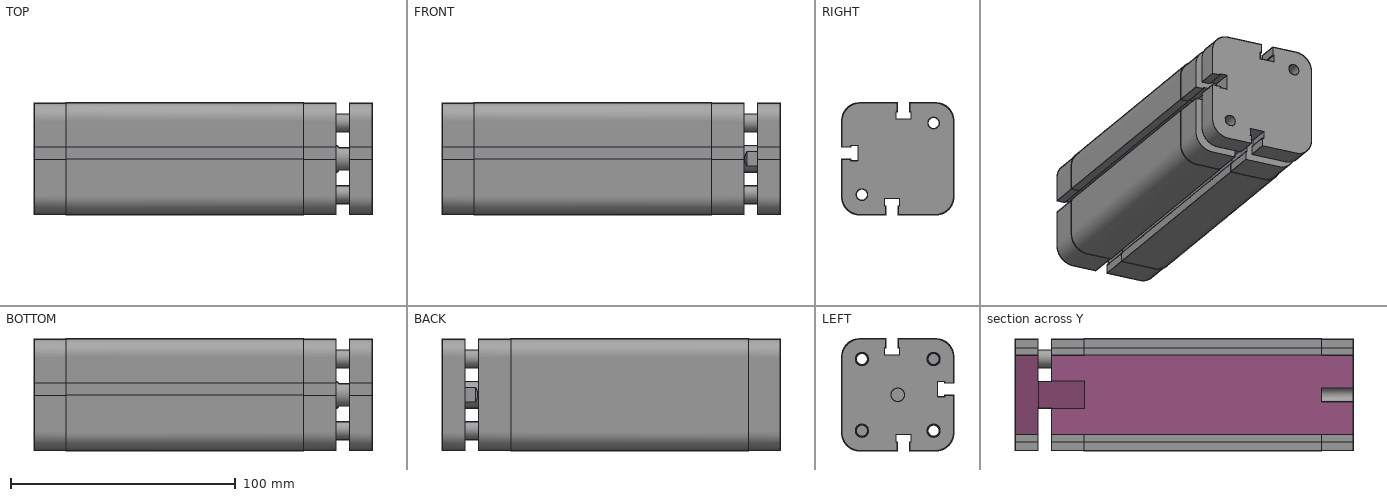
import cadquery as cq

TOTAL_LENGTH = 150.5
REAR_CAP_LENGTH = 14.1
FRONT_CAP_LENGTH = 14.6
PLATE_THICKNESS = 10.2
PLATE_GAP = 5.9

PLATE_START = TOTAL_LENGTH - PLATE_THICKNESS
HOUSING_END = PLATE_START - PLATE_GAP
FRONT_CAP_START = HOUSING_END - FRONT_CAP_LENGTH

BARREL_WIDTH = 50.0
BARREL_CORNER_RADIUS = 8.0
CAP_INSET = 0.2
CAP_CORNER_RADIUS = 8.1
PLATE_CORNER_RADIUS = 7.8
CAP_WIDTH = BARREL_WIDTH - 2 * CAP_INSET

SLOT_OFFSET = 2.5
SLOT_MOUTH_WIDTH = 5.4
SLOT_INNER_WIDTH = 6.6
SLOT_MOUTH_DEPTH = 4.0
SLOT_DEPTH = 7.2
SLOT_ANGLES = (0, 90, 180)
CAP_SLOT_CLEARANCE = 0.08

CORNER_OFFSET = 16.0
CORNER_HOLE_DIAMETER = 5.0
CORNER_HOLE_CHAMFER = 0.5
GUIDE_ROD_DIAMETER = 8.1
GUIDE_ROD_CENTRES = ((-CORNER_OFFSET, CORNER_OFFSET), (CORNER_OFFSET, -CORNER_OFFSET))
OPEN_HOLE_CENTRES = ((CORNER_OFFSET, CORNER_OFFSET), (-CORNER_OFFSET, -CORNER_OFFSET))
CENTRE_HOLE_DIAMETER = 6.0
PISTON_ROD_DIAMETER = 12.0
PISTON_ROD_FLATS = 10.1
FLATS_SETBACK = 0.3


def cylinder(start, end, diameter, centres=((0, 0),)):
    """Cylinders along X at the given (Y, Z) centres."""
    return (
        cq.Workplane("YZ", origin=(start, 0, 0))
        .pushPoints(centres)
        .circle(diameter / 2)
        .extrude(end - start)
    )


def slot_cutter(start, end, clearance):
    """One stepped slot on each of three sides, widened and deepened by the clearance."""
    top = BARREL_WIDTH / 2
    half_mouth = SLOT_MOUTH_WIDTH / 2 + clearance
    half_inner = SLOT_INNER_WIDTH / 2 + clearance
    step = top - SLOT_MOUTH_DEPTH
    floor = top - SLOT_DEPTH - clearance
    profile = (
        cq.Workplane("YZ", origin=(start, 0, 0))
        .moveTo(SLOT_OFFSET - half_mouth, top)
        .lineTo(SLOT_OFFSET - half_mouth, step)
        .lineTo(SLOT_OFFSET - half_inner, step)
        .lineTo(SLOT_OFFSET - half_inner, floor)
        .lineTo(SLOT_OFFSET + half_inner, floor)
        .lineTo(SLOT_OFFSET + half_inner, step)
        .lineTo(SLOT_OFFSET + half_mouth, step)
        .lineTo(SLOT_OFFSET + half_mouth, top)
        .close()
    )
    slot = profile.extrude(end - start)
    slots = cq.Workplane("YZ")
    for angle in SLOT_ANGLES:
        slots = slots.add(slot.rotate((0, 0, 0), (1, 0, 0), angle))
    return slots.combine()


def slotted_block(start, end, width, corner_radius, slot_clearance):
    """Rounded square length of profile with the three slots running through it."""
    block = (
        cq.Workplane("YZ", origin=(start, 0, 0))
        .rect(width, width)
        .extrude(end - start)
        .edges("|X")
        .fillet(corner_radius)
    )
    return block.cut(slot_cutter(start, end, slot_clearance))


def make_housing():
    """Rear cap, barrel and front cap as one body, with its holes and rod bores."""
    rear_cap = slotted_block(0, REAR_CAP_LENGTH, CAP_WIDTH, CAP_CORNER_RADIUS, CAP_SLOT_CLEARANCE)
    barrel = slotted_block(REAR_CAP_LENGTH, FRONT_CAP_START, BARREL_WIDTH, BARREL_CORNER_RADIUS, 0)
    front_cap = slotted_block(
        FRONT_CAP_START, HOUSING_END, CAP_WIDTH, CAP_CORNER_RADIUS, CAP_SLOT_CLEARANCE
    )
    housing = rear_cap.union(barrel).union(front_cap)

    corners = GUIDE_ROD_CENTRES + OPEN_HOLE_CENTRES
    housing = housing.cut(cylinder(0, HOUSING_END, CORNER_HOLE_DIAMETER, corners))
    rim_radius = CORNER_HOLE_DIAMETER / 2 + CORNER_HOLE_CHAMFER
    for y, z in corners:
        countersink = cq.Solid.makeCone(
            rim_radius,
            CORNER_HOLE_DIAMETER / 2,
            CORNER_HOLE_CHAMFER,
            pnt=cq.Vector(0, y, z),
            dir=cq.Vector(1, 0, 0),
        )
        housing = housing.cut(cq.Workplane(countersink))

    housing = housing.cut(cylinder(0, REAR_CAP_LENGTH, CENTRE_HOLE_DIAMETER))
    housing = housing.cut(cylinder(FRONT_CAP_START, HOUSING_END, PISTON_ROD_DIAMETER))
    return housing.cut(cylinder(FRONT_CAP_START, HOUSING_END, GUIDE_ROD_DIAMETER, GUIDE_ROD_CENTRES))


def make_piston_rod():
    """Central rod with two wrench flats that start with a 45 degree run-in."""
    rod = cylinder(FRONT_CAP_START, PLATE_START, PISTON_ROD_DIAMETER)
    radius = PISTON_ROD_DIAMETER / 2
    flat = PISTON_ROD_FLATS / 2
    run_in_start = HOUSING_END + FLATS_SETBACK
    flat_cutter = (
        cq.Workplane("XY", origin=(0, 0, -radius))
        .moveTo(run_in_start, radius)
        .lineTo(run_in_start + radius - flat, flat)
        .lineTo(PLATE_START, flat)
        .lineTo(PLATE_START, radius)
        .close()
        .extrude(PISTON_ROD_DIAMETER)
    )
    return rod.cut(flat_cutter).cut(flat_cutter.mirror("XZ"))


def make_guide_rods():
    """Two plain rods at opposite corners, seated in the front cap."""
    rods = []
    for centre in GUIDE_ROD_CENTRES:
        rods.append(cylinder(FRONT_CAP_START, PLATE_START, GUIDE_ROD_DIAMETER, (centre,)))
    return rods


def make_end_plate():
    """Slotted plate on the rod ends, with through holes at the two open corners."""
    plate = slotted_block(
        PLATE_START, TOTAL_LENGTH, CAP_WIDTH, PLATE_CORNER_RADIUS, CAP_SLOT_CLEARANCE
    )
    return plate.cut(cylinder(PLATE_START, TOTAL_LENGTH, CORNER_HOLE_DIAMETER, OPEN_HOLE_CENTRES))


housing = make_housing()
piston_rod = make_piston_rod()
guide_rods = make_guide_rods()
end_plate = make_end_plate()

result = cq.Compound.makeCompound(
    [housing.val(), piston_rod.val(), *[rod.val() for rod in guide_rods], end_plate.val()]
)